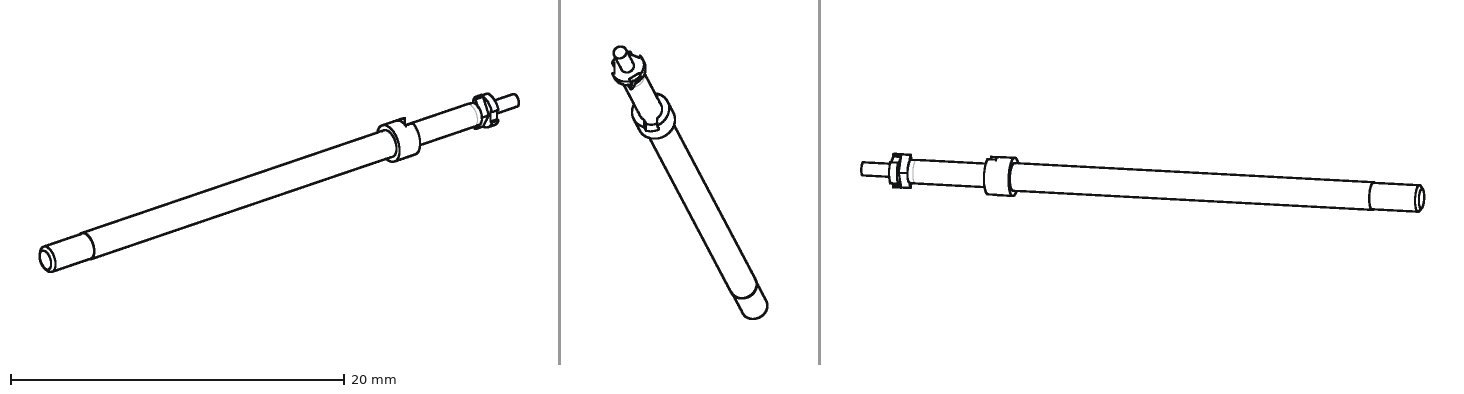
import cadquery as cq
import math

total_length = 34.9
end_y = -total_length / 2
tip_y = total_length / 2

pin_diameter = 0.8
crown_diameter = 2.02
plunger_diameter = 1.43
collar_diameter = 2.3
barrel_diameter = 1.68
tail_diameter = 1.6

pin_length = 1.92
crown_length = 0.5
blade_length = 0.55
plunger_length = 4.92
collar_length = 1.55
tail_length = 3.05

crown_slot_count = 3
crown_slot_width = 0.7
crown_slot_floor_radius = 0.8
blade_width = 1.25
blade_tip_angle = 60.0
taper_length = 0.35
taper_depth = 0.017
collar_slot_width = 0.8
collar_slot_length = 0.52
tail_chamfer_length = 0.17
tail_chamfer_depth = 0.2

crown_start_y = tip_y - pin_length
blade_start_y = crown_start_y - crown_length
plunger_start_y = blade_start_y - blade_length
collar_start_y = plunger_start_y - plunger_length
barrel_start_y = collar_start_y - collar_length
tail_start_y = end_y + tail_length


def section_plane(y):
    """Plane across the probe axis at y: local x is X, local y is Z, normal is -Y."""
    return cq.Workplane("XZ", origin=(0, y, 0))


def rod(diameter, start_y, length):
    """Cylinder on the probe axis reaching from start_y towards the tail."""
    return section_plane(start_y).circle(diameter / 2).extrude(length)


def crown():
    """Disc with equally spaced axial slots in its rim, the first one at +X."""
    disc = rod(crown_diameter, crown_start_y, crown_length)
    slot = (
        section_plane(crown_start_y)
        .center(crown_slot_floor_radius + crown_diameter / 2, 0)
        .rect(crown_diameter, crown_slot_width)
        .extrude(crown_length)
    )
    for index in range(crown_slot_count):
        angle = index * 360 / crown_slot_count
        disc = disc.cut(slot.rotate((0, 0, 0), (0, 1, 0), angle))
    return disc


def blade():
    """Rhombic prism pointing to +Z and -Z, trimmed to the crown diameter."""
    half_width = blade_width / 2
    half_height = half_width / math.tan(math.radians(blade_tip_angle / 2))
    prism = (
        section_plane(blade_start_y)
        .polyline([(half_width, 0), (0, half_height), (-half_width, 0), (0, -half_height)])
        .close()
        .extrude(blade_length)
    )
    return prism.intersect(rod(crown_diameter, blade_start_y, blade_length))


def plunger():
    """Plunger rod with a slight taper at its tip end."""
    shaft = rod(plunger_diameter, plunger_start_y, plunger_length + collar_length)
    return shaft.faces(">Y").chamfer(taper_length, taper_depth)


def collar():
    """Collar with a slot across its plunger end, open at +Z and -Z."""
    ring = rod(collar_diameter, collar_start_y, collar_length)
    slot = (
        section_plane(collar_start_y)
        .rect(collar_slot_width, collar_diameter)
        .extrude(collar_slot_length)
    )
    return ring.cut(slot)


def tail():
    """Slightly thinner tail with a chamfered end."""
    stub = rod(tail_diameter, tail_start_y, tail_length)
    return stub.faces("<Y").chamfer(tail_chamfer_length, tail_chamfer_depth)


pin = rod(pin_diameter, tip_y, pin_length)
barrel = rod(barrel_diameter, barrel_start_y, barrel_start_y - tail_start_y)

result = pin
for section in (crown(), blade(), plunger(), collar(), barrel, tail()):
    result = result.union(section)